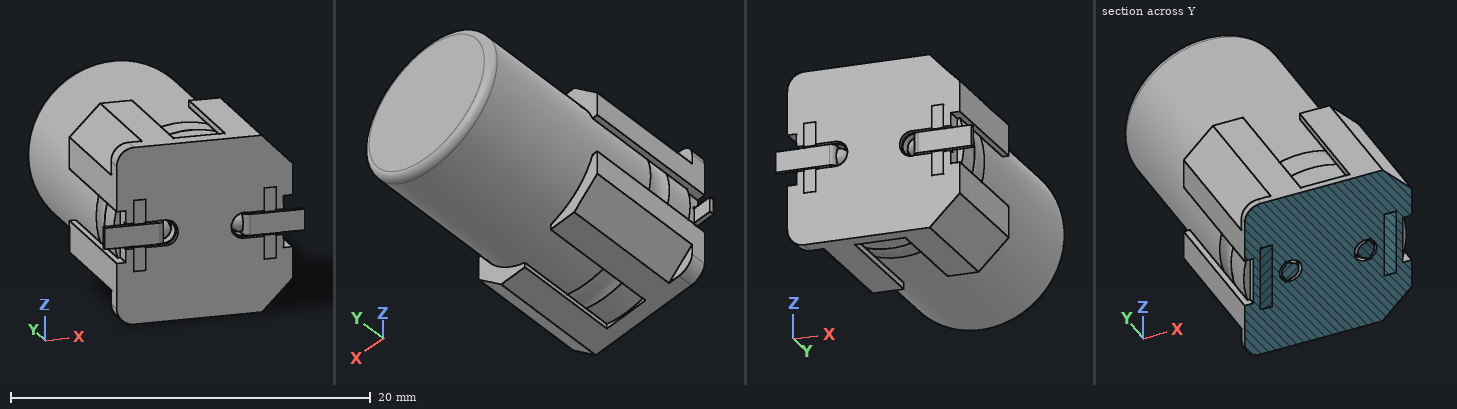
import cadquery as cq
import math


total_length = 16.8
lead_span = 11.7

base_width = 10.3
floor_thickness = 1.0
tall_post_top = 8.5
short_post_top = 7.5
corner_chamfer = 1.8
floor_corner_radius = 1.0
post_gap = 3.0
side_notch_depth = 0.54

can_radius = 5.0
can_end_fillet = 0.5
groove_middle = 3.4
groove_width = 1.48
groove_depth = 0.18

lead_width = 1.23
lead_thickness = 0.3
bend_radius = lead_thickness
wire_offset = 2.34
wire_radius = lead_width / 2
recess_end_offset = 2.3
lead_slot_width = 1.48
wire_hole_radius = 0.67

bar_offset = 3.81
bar_width = 0.7
bar_length = 4.13
bar_thickness = 0.67
bar_notch_width = 1.35

SIDES = (-1, 1)


def block(x_range, y_range, z_range):
    """Box between the given limits, each a (low, high) pair in any order."""
    limits = [sorted(pair) for pair in (x_range, y_range, z_range)]
    sizes = [high - low for low, high in limits]
    corner = cq.Vector(*[low for low, high in limits])
    return cq.Workplane(cq.Solid.makeBox(*sizes, pnt=corner))


def centred(width):
    return (-width / 2, width / 2)


def cylinder_along_y(radius, start, end, x=0.0):
    centre = cq.Vector(x, start, 0)
    return cq.Workplane(cq.Solid.makeCylinder(radius, end - start, centre, cq.Vector(0, 1, 0)))


def make_can():
    """Round can with a rounded far end and a shallow crimped groove near the base."""
    groove_start = groove_middle - groove_width / 2
    groove_end = groove_middle + groove_width / 2
    fillet_middle = can_end_fillet * (1 - math.sqrt(0.5))
    profile = (
        cq.Workplane("XY")
        .moveTo(0, floor_thickness)
        .lineTo(-can_radius, floor_thickness)
        .lineTo(-can_radius, groove_start)
        .threePointArc((groove_depth - can_radius, groove_middle), (-can_radius, groove_end))
        .lineTo(-can_radius, total_length - can_end_fillet)
        .threePointArc(
            (fillet_middle - can_radius, total_length - fillet_middle),
            (can_end_fillet - can_radius, total_length),
        )
        .lineTo(0, total_length)
        .close()
    )
    return profile.revolve(360, (0, 0, 0), (0, 1, 0))


def make_posts():
    """Four corner posts around the can, the two on the -X side taller."""
    half = base_width / 2
    posts = block((-half, 0), (floor_thickness, tall_post_top), centred(base_width))
    posts = posts.union(block((0, half), (floor_thickness, short_post_top), centred(base_width)))
    posts = posts.edges("|Y and (<X or >X)").chamfer(corner_chamfer)
    posts = posts.cut(cylinder_along_y(can_radius, floor_thickness, tall_post_top))
    height = (floor_thickness, tall_post_top)
    posts = posts.cut(block(centred(base_width), height, centred(post_gap)))
    return posts.cut(block(centred(post_gap), height, centred(base_width)))


def make_floor():
    """Floor plate: rounded -X corners, chamfered +X corners and a notch at each lead exit."""
    floor = block(centred(base_width), (0, floor_thickness), centred(base_width))
    floor = floor.edges("|Y and <X").fillet(floor_corner_radius)
    floor = floor.edges("|Y and >X").chamfer(corner_chamfer)
    for side in SIDES:
        outer = side * base_width / 2
        inner = outer - side * side_notch_depth
        floor = floor.cut(block((inner, outer), (0, floor_thickness), centred(post_gap)))
    return floor


def lead_recess(side):
    """Round-ended slot for the flat lead, with a through hole for its bent leg and wire."""
    end_x = side * recess_end_offset
    outer = side * lead_span / 2
    slot = block((end_x, outer), (0, lead_thickness), centred(lead_slot_width))
    slot = slot.union(cylinder_along_y(lead_slot_width / 2, 0, lead_thickness, end_x))
    leg_outer = side * (wire_offset + bend_radius)
    hole = block((end_x, leg_outer), (0, floor_thickness), centred(2 * wire_hole_radius))
    hole = hole.union(cylinder_along_y(wire_hole_radius, 0, floor_thickness, end_x))
    return slot.union(hole)


def make_bar(side):
    """Anchor bar let into the floor, notched where the lead crosses it."""
    middle = side * bar_offset
    x_range = (middle - bar_width / 2, middle + bar_width / 2)
    bar = block(x_range, (0, bar_thickness), centred(bar_length))
    return bar.cut(block(x_range, (0, lead_thickness), centred(bar_notch_width)))


def make_lead(side):
    """Flat lead with a rounded bend up to a round-ended wire that meets the can."""
    wire_x = side * wire_offset
    outer = side * lead_span / 2
    bend_x = wire_x + side * bend_radius
    flat = block((bend_x, outer), (0, lead_thickness), centred(lead_width))
    bend_axis_start = cq.Vector(bend_x, bend_radius, -lead_width / 2)
    bend = cq.Workplane(cq.Solid.makeCylinder(bend_radius, lead_width, bend_axis_start, cq.Vector(0, 0, 1)))
    bend = bend.intersect(block((wire_x, bend_x), (0, bend_radius), centred(lead_width)))
    tip_y = bend_radius + wire_radius
    leg = block((wire_x, bend_x), (bend_radius, tip_y), centred(lead_width))
    tip = cq.Workplane("XZ").sphere(wire_radius).translate((wire_x, tip_y, 0))
    wire = cylinder_along_y(wire_radius, tip_y, floor_thickness, wire_x)
    wire = wire.union(tip.intersect(block((-outer, outer), (0, tip_y), centred(lead_width))))
    return flat.union(bend).union(leg).union(wire)


can = make_can()
bars = [make_bar(side) for side in SIDES]
leads = [make_lead(side) for side in SIDES]

base = make_floor().union(make_posts())
for side, bar in zip(SIDES, bars):
    base = base.cut(lead_recess(side)).cut(bar)

result = cq.Compound.makeCompound(
    [can.val(), base.val()] + [bar.val() for bar in bars] + [lead.val() for lead in leads]
)